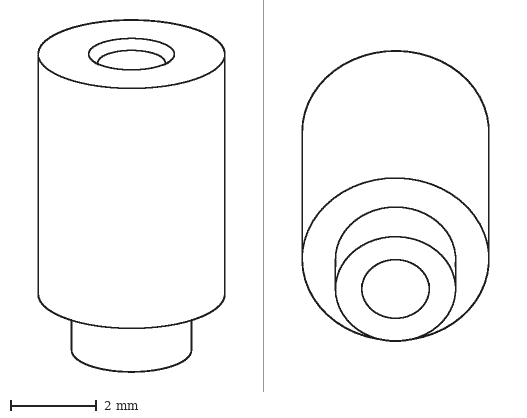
import cadquery as cq

total_height = 7.4
body_diameter = 4.35
spigot_diameter = 2.8
spigot_height = 1.4
bore_diameter = 1.57
countersink_diameter = 2.0

countersink_size = (countersink_diameter - bore_diameter) / 2

spigot = cq.Workplane("XY").circle(spigot_diameter / 2).extrude(spigot_height)

body = spigot.faces(">Z").workplane().circle(body_diameter / 2).extrude(total_height - spigot_height)

bored = body.faces(">Z").workplane().hole(bore_diameter)

result = bored.faces(">Z").edges("%CIRCLE").edges(cq.selectors.RadiusNthSelector(0)).chamfer(countersink_size)